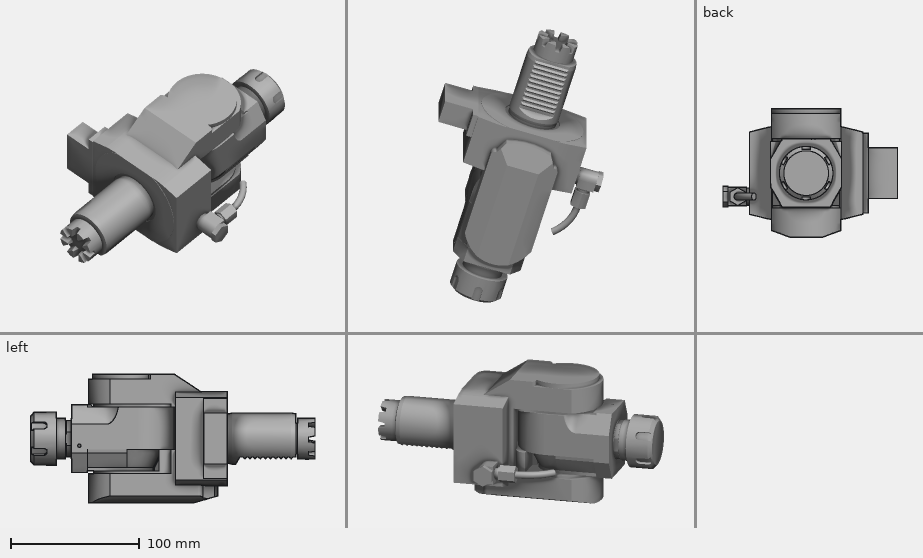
import cadquery as cq
import math

ARC_MID = math.sqrt(0.5)


flange_depth = 40.0
flange_half_width = 44.0
flange_half_height = 36.7
flange_corner_z = 32.0
flange_break_x = 30.0
flange_break_z = 35.5
flange_flat_half_width = 18.0
face_disc_d = 82.6
face_disc_height = 0.3

stop_end_x = -71.0
stop_depth = 18.0
stop_half_height = 19.7
stop_pad_thickness = 4.2
stop_pad_depth = 18.4
stop_pad_half_height = 31.0

shank_d = 40.0
shank_end_y = -53.2
shank_chamfer = 0.65
shank_chamfer_length = 3.4
relief_width = 1.3
shank_root_y = -3.8
relief_d = 38.7
relief_ring_d = 44.4
relief_ring_depth = 0.8
rack_start_y = -6.4
rack_ramp_end_y = -9.8
rack_valley_z = -14.3
rack_tip_z = -15.7
rack_pitch = 4.0
rack_tooth_count = 10
rack_tooth_base = 2.8
rack_first_tip_y = -13.6
drive_neck_d = 24.0
drive_d = 32.0
drive_start_y = -54.6
drive_end_y = -68.2
drive_bore_d = 17.2
drive_slot_depth = 5.1
drive_slot_floor_width = 3.4
drive_slot_mouth_width = 5.4
drive_slot_offset = 0.65
drive_slot_count = 8

pivot_y = 77.75
arm_half_width = 27.0
arm_end_r = 30.0
arm_top_z = 50.0
upper_arm_under_z = 26.8
arm_slope_top_y = 41.0
arm_slope_foot_y = 19.5
arm_slope_foot_z = 35.8
cover_disc_r = 26.9
cover_step_z = 46.1
cover_step_y = 61.0
cover_step_edge_y = 59.4
cover_step_break_x = 24.5
lower_arm_top_z = -27.2
arm_bottom_z = -49.78
arm_bevel_z = -44.5
arm_bottom_half_width = 12.7
lower_arm_front_y = 7.2
lower_arm_bevel_y = 25.7
lower_arm_nose_half_width = 18.0
lower_arm_nose_y = 10.0
lower_arm_step_x = 23.3
lower_arm_shoulder_y = 19.0
lower_arm_notch_x = 19.8
lower_arm_notch_y = 12.7
throat_wall_end_y = 43.8
throat_clearance = 1.4
pad_half_width = 26.0
pad_corner_r = 8.2
pillar_end_y = 53.0
pillar_web_half_width = 5.0
pillar_web_end_y = 62.0
tail_clearance = 1.0

head_end_y = 120.8
head_start_y = 108.6
head_half_width = 27.5
head_half_height = 26.3
head_flat_half_width = 18.8
head_side_half_height = 11.2
body_top_z = 24.7
body_bottom_z = -25.0
body_step_y = 105.9
body_step_end_y = 104.3
body_round_y = 68.7
body_round_bottom_z = -8.6
body_taper_bottom_z = -22.4
body_foot_half_width = 20.5
corner_cut_y = 93.9
corner_cut_r = 10.0
body_lower_inset = 0.4
pin_hole_d = 2.55
pin_hole_depth = 3.0
pin_hole_y = 114.8
pin_hole_offset = -5.5

collar_d = 32.0
collar_start_y = 125.6
neck_d = 30.4
neck_flats = 28.5
neck_flat_start_y = 121.4
neck_base_d = 31.0
neck_undercut_d = 29.4
neck_undercut_y = 124.7
nut_d = 41.5
nut_start_y = 132.6
nut_end_y = 152.83
nut_chamfer_length = 2.8
nut_chamfer_depth = 3.4
nut_slot_width = 6.4
nut_slot_end_y = 139.7
nut_slot_floor_r = 18.4
nut_slot_count = 6

elbow_y = 29.5
elbow_z = -18.2
hex_turn = 30.0
elbow_d = 14.5
elbow_washer_d = 13.6
elbow_start_x = 46.4
elbow_end_x = 60.6
elbow_cap_end_x = 64.7
elbow_cap_flats = 14.2
nipple_x = 53.1
nipple_d = 8.2
nipple_collar_d = 9.8
nipple_collar_y = 39.0
gland_start_y = 40.5
gland_end_y = 53.2
gland_flats = 12.0
tube_d = 5.6
tube_bend_r = 35.0
tube_bend_angle = math.radians(50.0)


def block(x0, x1, y0, y1, z0, z1):
    """Axis-aligned block between the given limits."""
    return cq.Workplane("XY").box(x1 - x0, y1 - y0, z1 - z0, centered=False).translate((x0, y0, z0))


def plane_y(y, x=0.0, z=0.0):
    """Sketch plane at position y whose normal is +Y and whose local axes are -X and Z."""
    return cq.Workplane(cq.Plane(origin=(x, y, z), xDir=(-1, 0, 0), normal=(0, 1, 0)))


def cylinder_y(diameter, y0, y1, x=0.0, z=0.0):
    return plane_y(y0, x, z).circle(diameter / 2).extrude(y1 - y0)


def cylinder_z(radius, y, z0, z1):
    return cq.Workplane("XY").workplane(offset=z0).center(0, y).circle(radius).extrude(z1 - z0)


def revolve_y(points):
    """Solid of revolution about the Y axis from (radius, y) points."""
    return cq.Workplane("XY").polyline(points).close().revolve(360, (0, 0, 0), (0, 1, 0))


def flange_prism(depth):
    """Flange outline, with an arc easing each end of the top and bottom edges, extruded from Y = 0."""
    run = flange_break_x - flange_flat_half_width
    drop = flange_half_height - flange_break_z
    ease_r = (run**2 + drop**2) / (2 * drop)
    mid_x = flange_flat_half_width + run / 2
    mid_z = flange_half_height - ease_r + math.sqrt(ease_r**2 - (run / 2) ** 2)
    outline = plane_y(0).moveTo(-flange_flat_half_width, flange_half_height)
    outline = outline.lineTo(flange_flat_half_width, flange_half_height)
    outline = outline.threePointArc((mid_x, mid_z), (flange_break_x, flange_break_z))
    outline = outline.lineTo(flange_half_width, flange_corner_z)
    outline = outline.lineTo(flange_half_width, -flange_corner_z)
    outline = outline.lineTo(flange_break_x, -flange_break_z)
    outline = outline.threePointArc((mid_x, -mid_z), (flange_flat_half_width, -flange_half_height))
    outline = outline.lineTo(-flange_flat_half_width, -flange_half_height)
    outline = outline.threePointArc((-mid_x, -mid_z), (-flange_break_x, -flange_break_z))
    outline = outline.lineTo(-flange_half_width, -flange_corner_z)
    outline = outline.lineTo(-flange_half_width, flange_corner_z)
    outline = outline.lineTo(-flange_break_x, flange_break_z)
    outline = outline.threePointArc((-mid_x, mid_z), (-flange_flat_half_width, flange_half_height))
    return outline.close().extrude(depth)


def make_flange():
    rim = flange_prism(face_disc_height).cut(cylinder_y(face_disc_d, 0, face_disc_height))
    recess = cylinder_y(relief_ring_d, 0, relief_ring_depth)
    return flange_prism(flange_depth).cut(rim).cut(recess)


def make_stop_block():
    pad_x = -flange_half_width - stop_pad_thickness
    pad = block(pad_x, -flange_half_width, 0, stop_pad_depth, -stop_pad_half_height, stop_pad_half_height)
    stop = block(stop_end_x, pad_x, 0, stop_depth, -stop_half_height, stop_half_height)
    return pad.union(stop)


def make_shank():
    r = shank_d / 2
    tip_r = r - shank_chamfer
    profile = [
        (0, relief_ring_depth),
        (relief_d / 2, relief_ring_depth),
        (relief_d / 2, -relief_width),
        (r, shank_root_y),
        (r, shank_end_y + shank_chamfer_length),
        (tip_r, shank_end_y),
        (0, shank_end_y),
    ]
    shank = revolve_y(profile)
    half_base = rack_tooth_base / 2
    rack = [(rack_start_y, -r), (rack_ramp_end_y, rack_valley_z)]
    for i in range(rack_tooth_count):
        tip_y = rack_first_tip_y - i * rack_pitch
        rack += [(tip_y + half_base, rack_valley_z), (tip_y, rack_tip_z)]
        rack += [(tip_y - half_base, rack_valley_z)]
    rack += [(shank_end_y, rack_valley_z), (shank_end_y, -r)]
    cutter = cq.Workplane("YZ").polyline(rack).close().extrude(r, both=True)
    return shank.cut(cutter)


def make_drive_end():
    drive = cylinder_y(drive_neck_d, drive_start_y, shank_end_y)
    drive = drive.union(cylinder_y(drive_d, drive_end_y, drive_start_y))
    floor_y = drive_end_y + drive_slot_depth
    drive = drive.cut(cylinder_y(drive_bore_d, drive_end_y, floor_y))
    half_floor = drive_slot_floor_width / 2
    half_mouth = drive_slot_mouth_width / 2
    section = [
        (-drive_slot_offset - half_mouth, drive_end_y),
        (-drive_slot_offset + half_mouth, drive_end_y),
        (-drive_slot_offset + half_floor, floor_y),
        (-drive_slot_offset - half_floor, floor_y),
    ]
    slot = cq.Workplane("XY").polyline(section).close().extrude(drive_d)
    for i in range(drive_slot_count):
        drive = drive.cut(slot.rotate((0, 0, 0), (0, 1, 0), i * 360 / drive_slot_count))
    return drive


def arm_tail(z0, z1):
    """Rounded arm end about the swivel axis, trimmed to the arm width."""
    tail = cylinder_z(arm_end_r, pivot_y, z0, z1)
    return tail.intersect(block(-arm_half_width, arm_half_width, flange_depth, head_end_y, z0, z1))


def make_upper_arm():
    w = arm_half_width
    side = [
        (pivot_y, upper_arm_under_z),
        (arm_slope_foot_y, upper_arm_under_z),
        (arm_slope_foot_y, arm_slope_foot_z),
        (arm_slope_top_y, arm_top_z),
        (pivot_y, arm_top_z),
    ]
    arm = cq.Workplane("YZ").polyline(side).close().extrude(w, both=True)
    arm = arm.union(arm_tail(upper_arm_under_z, arm_top_z))
    step_plan = [
        (-w, head_end_y),
        (-w, cover_step_edge_y),
        (-cover_step_break_x, cover_step_y),
        (cover_step_break_x, cover_step_y),
        (w, cover_step_edge_y),
        (w, head_end_y),
    ]
    step = cq.Workplane("XY").workplane(offset=cover_step_z).polyline(step_plan).close()
    step = step.extrude(arm_top_z - cover_step_z)
    step = step.cut(cylinder_z(cover_disc_r, pivot_y, cover_step_z, arm_top_z))
    return arm.cut(step)


def make_lower_arm():
    w = arm_half_width
    height = lower_arm_top_z - arm_bottom_z
    round_r = w - lower_arm_step_x
    nose_x = lower_arm_nose_half_width
    plan = cq.Workplane("XY").workplane(offset=arm_bottom_z)
    plan = plan.moveTo(-w, pivot_y).lineTo(-w, lower_arm_shoulder_y + round_r)
    plan = plan.threePointArc(
        (-w + round_r * (1 - ARC_MID), lower_arm_shoulder_y + round_r * (1 - ARC_MID)),
        (-lower_arm_step_x, lower_arm_shoulder_y),
    )
    plan = plan.lineTo(-lower_arm_notch_x, lower_arm_notch_y)
    plan = plan.lineTo(-nose_x, lower_arm_nose_y)
    plan = plan.threePointArc((0, lower_arm_front_y), (nose_x, lower_arm_nose_y))
    plan = plan.lineTo(lower_arm_notch_x, lower_arm_notch_y)
    plan = plan.lineTo(lower_arm_step_x, lower_arm_shoulder_y)
    plan = plan.threePointArc(
        (w - round_r * (1 - ARC_MID), lower_arm_shoulder_y + round_r * (1 - ARC_MID)),
        (w, lower_arm_shoulder_y + round_r),
    )
    arm = plan.lineTo(w, pivot_y).close().extrude(height)
    arm = arm.union(arm_tail(arm_bottom_z, lower_arm_top_z))
    section = [
        (w, lower_arm_top_z),
        (w, arm_bevel_z),
        (arm_bottom_half_width, arm_bottom_z),
        (-arm_bottom_half_width, arm_bottom_z),
        (-w, arm_bevel_z),
        (-w, lower_arm_top_z),
    ]
    length = pivot_y + arm_end_r
    arm = arm.intersect(plane_y(0).polyline(section).close().extrude(length))
    bevel = [
        (lower_arm_front_y, arm_bevel_z),
        (lower_arm_bevel_y, arm_bottom_z),
        (lower_arm_front_y, arm_bottom_z),
    ]
    return arm.cut(cq.Workplane("YZ").polyline(bevel).close().extrude(w, both=True))


def make_throat():
    """Wall closing the fork, with clearance for the body that is open towards -X."""
    w = arm_half_width
    wall = block(-w, w, flange_depth, throat_wall_end_y, lower_arm_top_z, upper_arm_under_z)
    opening = cylinder_z(head_half_width + throat_clearance, body_round_y, body_round_bottom_z, body_top_z)
    side = block(-w, 0, flange_depth, throat_wall_end_y, body_round_bottom_z, body_top_z)
    return wall.cut(opening).cut(side)


def make_body_tail(clearance=0.0):
    """Tapered round underside of the body about the swivel axis, grown by a radial clearance."""
    profile = [
        (0, body_round_bottom_z),
        (head_half_width + clearance, body_round_bottom_z),
        (body_foot_half_width + clearance, body_taper_bottom_z),
        (body_foot_half_width + clearance, body_bottom_z),
        (0, body_bottom_z),
    ]
    tail = cq.Workplane("XZ").polyline(profile).close().revolve(360, (0, 0, 0), (0, 1, 0))
    return tail.translate((0, pivot_y, 0))


def make_pad(z0, z1):
    """Flat pad between an arm and the body, round about the swivel axis at its +Y end."""
    p = pad_half_width
    pad = block(-p, p, throat_wall_end_y, pivot_y, z0, z1).edges("|Z and <Y").fillet(pad_corner_r)
    return pad.union(cylinder_z(p, pivot_y, z0, z1))


def make_pads():
    upper_pad = make_pad(body_top_z, upper_arm_under_z)
    lower_pad = make_pad(lower_arm_top_z, body_bottom_z)
    p = pad_half_width
    pillar = block(-p, p, throat_wall_end_y, pillar_end_y, body_bottom_z, body_round_bottom_z)
    pillar = pillar.edges("|Z and <Y").fillet(pad_corner_r)
    t = pillar_web_half_width
    web = block(-t, t, throat_wall_end_y, pillar_web_end_y, body_bottom_z, body_round_bottom_z)
    pillar = pillar.union(web).cut(make_body_tail(tail_clearance))
    return upper_pad.union(lower_pad).union(pillar)


def head_outline():
    corner = [
        (head_flat_half_width, head_half_height),
        (head_half_width, head_side_half_height),
    ]
    right = corner + [(x, -z) for x, z in reversed(corner)]
    return right + [(-x, z) for x, z in reversed(right)]


def make_corner_cut(side):
    """Upper corner relief of the body, ending in a rounded run-out; side is +1 or -1."""
    run = head_half_width - head_flat_half_width
    rise = head_half_height - head_side_half_height
    face = cq.Plane(
        origin=(side * head_half_width, 0, head_side_half_height),
        xDir=(0, 1, 0),
        normal=(run, 0, -side * rise),
    )
    r = corner_cut_r
    cutter = cq.Workplane(face).moveTo(head_start_y, 0).lineTo(corner_cut_y, 0)
    cutter = cutter.threePointArc((corner_cut_y - r * ARC_MID, r - r * ARC_MID), (corner_cut_y - r, r))
    return cutter.lineTo(head_start_y, r).close().extrude(head_half_height, both=True)


def make_body():
    w = head_half_width
    foot = body_foot_half_width
    head = plane_y(head_start_y).polyline(head_outline()).close().extrude(head_end_y - head_start_y)

    upper = block(-w, w, body_round_y, head_start_y, body_round_bottom_z, body_top_z)
    upper = upper.union(cylinder_z(w, body_round_y, body_round_bottom_z, body_top_z))
    lip = [
        (head_start_y, body_top_z),
        (head_start_y, head_half_height),
        (body_step_y, head_half_height),
        (body_step_end_y, body_top_z),
    ]
    upper = upper.union(cq.Workplane("YZ").polyline(lip).close().extrude(head_flat_half_width, both=True))
    for side in (-1, 1):
        upper = upper.cut(make_corner_cut(side))

    half_section = [
        (w, body_round_bottom_z),
        (w - body_lower_inset, -head_side_half_height),
        (foot, body_taper_bottom_z),
        (foot, body_bottom_z),
    ]
    section = half_section + [(-x, z) for x, z in reversed(half_section)]
    lower = plane_y(pivot_y).polyline(section).close().extrude(head_start_y - pivot_y)
    body = head.union(upper).union(lower).union(make_body_tail())

    top_hole = cq.Workplane("XY").workplane(offset=head_half_height - pin_hole_depth)
    top_hole = top_hole.center(pin_hole_offset, pin_hole_y).circle(pin_hole_d / 2).extrude(pin_hole_depth)
    side_hole = cq.Workplane("YZ").workplane(offset=-w)
    side_hole = side_hole.center(pin_hole_y, pin_hole_offset).circle(pin_hole_d / 2).extrude(pin_hole_depth)
    return body.cut(top_hole).cut(side_hole)


def make_spindle():
    base = cylinder_y(neck_base_d, head_end_y, neck_flat_start_y)
    neck = cylinder_y(neck_d, neck_flat_start_y, neck_undercut_y)
    neck = neck.union(cylinder_y(neck_undercut_d, neck_undercut_y, collar_start_y))
    core = plane_y(neck_flat_start_y).rect(neck_flats, neck_flats)
    neck = neck.intersect(core.extrude(collar_start_y - neck_flat_start_y))
    collar = cylinder_y(collar_d, collar_start_y, nut_start_y)
    return base.union(neck).union(collar)


def make_nut():
    r = nut_d / 2
    nut = revolve_y([
        (0, nut_start_y),
        (r, nut_start_y),
        (r, nut_end_y - nut_chamfer_length),
        (r - nut_chamfer_depth, nut_end_y),
        (0, nut_end_y),
    ])
    half = nut_slot_width / 2
    slot = cq.Workplane("XY").workplane(offset=nut_slot_floor_r)
    slot = slot.moveTo(-half, nut_end_y).lineTo(-half, nut_slot_end_y + half)
    slot = slot.threePointArc((0, nut_slot_end_y), (half, nut_slot_end_y + half))
    slot = slot.lineTo(half, nut_end_y).close().extrude(r)
    for i in range(nut_slot_count):
        nut = nut.cut(slot.rotate((0, 0, 0), (0, 1, 0), i * 360 / nut_slot_count))
    return nut


def plane_x(x):
    """Sketch plane across the elbow axis at position x, with local axes Y and Z."""
    return cq.Workplane("YZ").workplane(offset=x).center(elbow_y, elbow_z)


def tube_point(angle):
    """Point on the tube centre line after bending through the given angle."""
    return (
        nipple_x - tube_bend_r * (1 - math.cos(angle)),
        gland_end_y + tube_bend_r * math.sin(angle),
    )


def make_elbow():
    r = elbow_d / 2
    washer = plane_x(flange_half_width).circle(elbow_washer_d / 2).extrude(elbow_start_x - flange_half_width)
    length = elbow_end_x - elbow_start_x
    elbow = plane_x(elbow_start_x).circle(r).extrude(length)
    elbow = elbow.union(plane_x(elbow_start_x).center(r / 2, 0).rect(r, elbow_d).extrude(length))
    corner_d = elbow_cap_flats / math.cos(math.radians(hex_turn))
    cap = plane_x(elbow_end_x).transformed(rotate=(0, 0, hex_turn)).polygon(6, corner_d)
    cap = cap.extrude(elbow_cap_end_x - elbow_end_x)

    nipple = cylinder_y(nipple_d, elbow_y, gland_start_y, nipple_x, elbow_z)
    nipple = nipple.union(cylinder_y(nipple_collar_d, nipple_collar_y, gland_start_y, nipple_x, elbow_z))
    gland = plane_y(gland_start_y, nipple_x, elbow_z).transformed(rotate=(0, 0, hex_turn))
    gland = gland.polygon(6, gland_flats / math.cos(math.radians(hex_turn)))
    gland = gland.extrude(gland_end_y - gland_start_y)

    path = cq.Workplane("XY").workplane(offset=elbow_z).moveTo(nipple_x, gland_end_y)
    path = path.threePointArc(tube_point(tube_bend_angle / 2), tube_point(tube_bend_angle))
    tube = plane_y(gland_end_y, nipple_x, elbow_z).circle(tube_d / 2).sweep(path)
    return washer.union(elbow).union(cap).union(nipple).union(gland).union(tube)


result = make_flange()
for feature in (
    make_stop_block(),
    make_shank(),
    make_drive_end(),
    make_upper_arm(),
    make_lower_arm(),
    make_throat(),
    make_pads(),
    make_body(),
    make_spindle(),
    make_nut(),
    make_elbow(),
):
    result = result.union(feature)